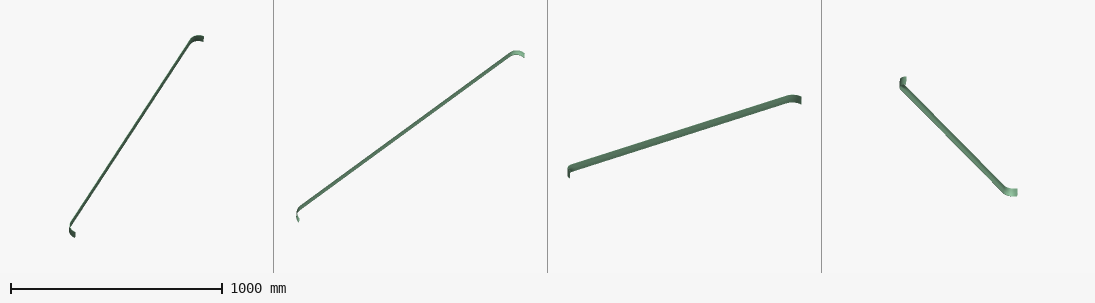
import cadquery as cq
import math

strip_length = 1414.64
strip_height = 40.39
thickness = 2.0
outer_radius = 50.0
inner_radius = outer_radius - thickness

lean_angle = 4.0
turn_angle = 6.665

end_y = strip_length / 2
inner_end_y = end_y - thickness
bend_centre_x = outer_radius
bend_centre_y = end_y - outer_radius


def bend_middle(radius):
    """Point halfway round the bend at the +Y end, for a face of the given radius."""
    offset = radius * math.sqrt(0.5)
    return bend_centre_x - offset, bend_centre_y + offset


def strip_outline():
    """Closed outline, straight along Y, with both tips pointing to +X."""
    outer_x, outer_y = bend_middle(outer_radius)
    inner_x, inner_y = bend_middle(inner_radius)
    return (
        cq.Workplane("XY")
        .moveTo(0, -bend_centre_y)
        .lineTo(0, bend_centre_y)
        .threePointArc((outer_x, outer_y), (bend_centre_x, end_y))
        .lineTo(bend_centre_x, inner_end_y)
        .threePointArc((inner_x, inner_y), (thickness, bend_centre_y))
        .lineTo(thickness, -bend_centre_y)
        .threePointArc((inner_x, -inner_y), (bend_centre_x, -inner_end_y))
        .lineTo(bend_centre_x, -end_y)
        .threePointArc((outer_x, -outer_y), (0, -bend_centre_y))
        .close()
    )


def place(strip):
    """Lean the top edge toward +X, then turn the strip about Z."""
    origin = (0, 0, 0)
    leaning = strip.rotate(origin, (0, 1, 0), lean_angle)
    return leaning.rotate(origin, (0, 0, 1), turn_angle)


result = place(strip_outline().extrude(strip_height))